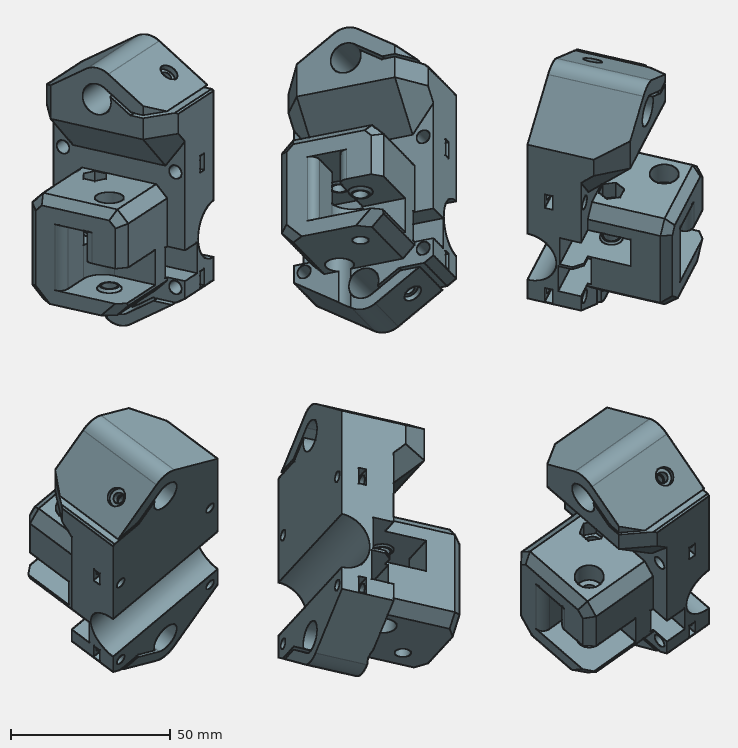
import cadquery as cq
import math


height = 92.6
half_width = 24.0
corner_height = 14.1
tip_radius = 7.5
plate_depth = 17.9

head_depth = 31.8
head_front_half_width = 16.85
head_side_depth = 22.0
head_underside_z = 71.8

rod_diameter = 10.4
upper_rod_z = 81.95
lower_rod_z = 9.1
clamp_gap = 1.0
upper_gap_z = 80.0
lower_gap_z = 11.0
clamp_screw_x = 13.0
clamp_screw_depth = plate_depth / 2
clamp_screw_diameter = 3.5
clamp_screw_length = 14.8
clamp_head_diameter = 6.0
clamp_head_depth = 1.85

mount_half_spacing = 20.5
mount_heights = (17.2, 56.5)
mount_diameter = 3.5
mount_clearance_diameter = 4.5
nut_slot_front = 8.4
nut_slot_thickness = 2.6
nut_slot_width = 5.65

seat_radius = 9.6
seat_z = 31.6

front_depth = 45.0
block_half_width = 17.5
block_bottom = 15.0
block_top = 50.9
block_corner = 4.0
block_front_chamfer = 3.0

channel_back = 10.3
channel_front = 19.0
channel_top = 30.6

lower_pocket_bottom = 20.1
lower_pocket_top = 32.0
lower_pocket_back = 25.3
upper_pocket_bottom = 31.5
upper_pocket_top = 42.5
upper_pocket_back = 10.8
upper_pocket_front = 32.1
passage_left = -4.5
passage_right = 3.0
pocket_corner_radius = 7.0
mouth_radius = 3.0
web_chamfer = 2.9

axle_x = 6.5
upper_axle_depth = 21.9
lower_axle_depth = 35.0
axle_diameter = 5.2
axle_head_diameter = 9.2
axle_head_depth = 7.4
axle_nut_diameter = 8.2
axle_nut_depth = 6.0
washer_diameter = 6.0
upper_washer_height = 0.65
lower_washer_height = 0.9

tip_center_height = height - tip_radius
side_corner_z = height - corner_height
corner_rise = tip_center_height - side_corner_z
slope = math.atan2(corner_rise, half_width) + math.asin(tip_radius / math.hypot(half_width, corner_rise))
block_width = 2 * block_half_width
overrun = 4.6


def box(x_range, depth_range, z_range):
    """Box between two X values, two depths and two heights."""
    left, right = x_range
    back, front = depth_range
    bottom, top = z_range
    solid = cq.Workplane("XY").box(right - left, front - back, top - bottom, centered=False)
    return solid.translate((left, -front, bottom))


def upright(diameter, x, depth, bottom, top):
    """Cylinder along Z."""
    return cq.Workplane("XY", origin=(x, -depth, bottom)).circle(diameter / 2).extrude(top - bottom)


def crosswise(diameter, x, z, start, end):
    """Cylinder along -Y between two depths."""
    return cq.Workplane("XZ", origin=(x, -start, z)).circle(diameter / 2).extrude(end - start)


def flip(solid):
    """Mirror top to bottom about the middle of the body."""
    return solid.mirror("XY", (0, 0, height / 2))


def body():
    tangent_x = tip_radius * math.sin(slope)
    tangent_z = tip_center_height + tip_radius * math.cos(slope)
    outline = (
        cq.Workplane("XZ")
        .moveTo(-half_width, side_corner_z)
        .lineTo(-tangent_x, tangent_z)
        .threePointArc((0, height), (tangent_x, tangent_z))
        .lineTo(half_width, side_corner_z)
        .lineTo(half_width, corner_height)
        .lineTo(tangent_x, height - tangent_z)
        .threePointArc((0, 0), (-tangent_x, height - tangent_z))
        .lineTo(-half_width, corner_height)
        .close()
    )
    return outline.extrude(head_depth)


def envelope():
    """Plate plus the head, whose underside recedes at 45 degrees down to the plate."""
    plate = box((-half_width, half_width), (0, plate_depth), (0, height))
    section = [
        (-half_width, 0),
        (-half_width, -head_side_depth),
        (-head_front_half_width, -head_depth),
        (head_front_half_width, -head_depth),
        (half_width, -head_side_depth),
        (half_width, 0),
    ]
    profile = cq.Workplane("XY", origin=(0, 0, head_underside_z)).polyline(section).close()
    head = profile.extrude(height - head_underside_z)
    drop = head_depth - plate_depth
    underside = cq.Solid.extrudeLinear(profile.wire().val(), [], cq.Vector(0, drop, -drop))
    return plate.union(head).union(cq.Workplane(underside))


def block():
    middle_z = (block_bottom + block_top) / 2
    solid = (
        cq.Workplane("XZ", origin=(0, 0, middle_z))
        .rect(block_width, block_top - block_bottom)
        .extrude(front_depth)
        .edges("|Y")
        .chamfer(block_corner)
    )
    solid = solid.faces("<Y").edges("not(<Z or >X)").chamfer(block_front_chamfer)
    bevel = [
        (block_half_width, -front_depth),
        (block_half_width, -front_depth + block_front_chamfer),
        (block_half_width - block_front_chamfer, -front_depth),
    ]
    bevel_profile = cq.Workplane("XY", origin=(0, 0, lower_pocket_bottom)).polyline(bevel).close()
    solid = solid.cut(bevel_profile.extrude(block_top - lower_pocket_bottom))
    return solid.cut(box((-half_width, half_width), (0, plate_depth / 2), (0, height)))


def clamp_slot(rod_z, gap_z):
    """Slot tangent to the top of a rod bore, parallel to the sloped side, then level out to +X."""
    def edge(radius, level):
        start = (radius * math.sin(slope), rod_z + radius * math.cos(slope))
        bend_x = start[0] + (start[1] - level) / math.tan(slope)
        return [start, (bend_x, level), (half_width + overrun, level)]

    upper_edge = edge(rod_diameter / 2, gap_z)
    lower_edge = edge(rod_diameter / 2 - clamp_gap, gap_z - clamp_gap)
    return cq.Workplane("XZ").polyline(upper_edge + lower_edge[::-1]).close().extrude(head_depth)


def clamp_screw():
    """Screw hole square to the upper right sloped side."""
    face_z = side_corner_z + (half_width - clamp_screw_x) * math.tan(slope)
    entry = cq.Vector(clamp_screw_x, -clamp_screw_depth, face_z)
    inward = cq.Vector(-math.sin(slope), 0, -math.cos(slope))

    def bore(diameter, depth):
        start = entry - inward * overrun
        return cq.Workplane(cq.Solid.makeCylinder(diameter / 2, depth + overrun, start, inward))

    return bore(clamp_screw_diameter, clamp_screw_length).union(bore(clamp_head_diameter, clamp_head_depth))


def rod_clamps():
    cutter = crosswise(rod_diameter, 0, upper_rod_z, 0, head_depth)
    cutter = cutter.union(crosswise(rod_diameter, 0, lower_rod_z, 0, plate_depth))
    cutter = cutter.union(clamp_slot(upper_rod_z, upper_gap_z))
    cutter = cutter.union(flip(clamp_slot(height - lower_rod_z, height - lower_gap_z)))
    return cutter.union(clamp_screw()).union(flip(clamp_screw()))


def mount(z):
    """Stepped hole and nut slot on both sides at one height."""
    hole = crosswise(mount_diameter, mount_half_spacing, z, 0, plate_depth)
    hole = hole.union(crosswise(mount_clearance_diameter, mount_half_spacing, z, nut_slot_front, plate_depth))
    nut_slot = box(
        (mount_half_spacing - nut_slot_width / 2, half_width),
        (nut_slot_front - nut_slot_thickness, nut_slot_front),
        (z - nut_slot_width / 2, z + nut_slot_width / 2),
    )
    side = hole.union(nut_slot)
    return side.union(side.mirror("YZ"))


def bearing_seat():
    return cq.Workplane("YZ").center(0, seat_z).circle(seat_radius).extrude(half_width, both=True)


def belt_channel():
    return box((-half_width, half_width), (channel_back, channel_front), (lower_pocket_bottom, channel_top))


def mouth_rounding(wall_x, side, bottom):
    """Material to remove where a passage wall rolls over into the front face."""
    center_x = wall_x + side * mouth_radius
    center_depth = front_depth - mouth_radius
    x_range = sorted((wall_x, center_x))
    corner = box(x_range, (center_depth, front_depth), (bottom, upper_pocket_top))
    roll = upright(2 * mouth_radius, center_x, center_depth, bottom, upper_pocket_top)
    return corner.cut(roll)


def washer(x, depth, z, rise):
    """Conical spacer ring standing on a pocket face, rising up (positive) or down (negative)."""
    reach = abs(rise)
    tip = washer_diameter / 2
    direction = cq.Vector(0, 0, math.copysign(1, rise))
    return cq.Workplane(cq.Solid.makeCone(tip + reach, tip, reach, cq.Vector(x, -depth, z), direction))


def upper_pocket():
    z_range = (upper_pocket_bottom, upper_pocket_top)
    inlet = box((-half_width, passage_right), (upper_pocket_back, upper_pocket_front), z_range)
    inlet = inlet.edges("|Z and >X and >Y").fillet(pocket_corner_radius)
    passage = box((passage_left, passage_right), (lower_pocket_back, front_depth), z_range)
    pocket = inlet.union(passage).union(mouth_rounding(passage_right, 1, lower_pocket_top))
    pocket = pocket.cut(washer(-axle_x, upper_axle_depth, upper_pocket_bottom, upper_washer_height))
    return pocket.cut(washer(-axle_x, upper_axle_depth, upper_pocket_top, -upper_washer_height))


def lower_pocket():
    z_range = (lower_pocket_bottom, lower_pocket_top)
    pocket = box((passage_left, block_half_width), (lower_pocket_back, front_depth), z_range)
    pocket = pocket.edges("|Z and <X and >Y").fillet(pocket_corner_radius)
    pocket = pocket.union(mouth_rounding(passage_left, -1, lower_pocket_bottom))
    pocket = pocket.cut(washer(axle_x, lower_axle_depth, lower_pocket_bottom, lower_washer_height))
    return pocket.cut(washer(axle_x, lower_axle_depth, lower_pocket_top, -lower_washer_height))


def web_corner():
    """Corner cut off the thin web between the upper pocket and the belt channel."""
    corner = [
        (-half_width, -plate_depth),
        (-half_width + web_chamfer, -plate_depth),
        (-half_width, -plate_depth + web_chamfer),
    ]
    web = cq.Workplane("XY", origin=(0, 0, channel_top)).polyline(corner).close()
    return web.extrude(upper_pocket_bottom - channel_top)


def axles():
    """Upper axle: nut trap on top, head from below. Lower axle: head from above."""
    upper = upright(axle_diameter, -axle_x, upper_axle_depth, block_bottom, block_top)
    head_from_below = upright(axle_head_diameter, -axle_x, upper_axle_depth, 0, lower_pocket_bottom)
    nut_trap = (
        cq.Workplane("XY", origin=(-axle_x, -upper_axle_depth, block_top - axle_nut_depth))
        .polygon(6, axle_nut_diameter)
        .extrude(axle_nut_depth)
    )
    lower = upright(axle_diameter, axle_x, lower_axle_depth, block_bottom, block_top)
    head_seat_z = block_top - axle_head_depth
    head_from_above = upright(axle_head_diameter, axle_x, lower_axle_depth, head_seat_z, block_top)
    return upper.union(head_from_below).union(nut_trap).union(lower).union(head_from_above)


result = body().intersect(envelope()).union(block())
cutters = [rod_clamps(), bearing_seat(), belt_channel(), web_corner()]
cutters += [upper_pocket(), lower_pocket(), axles()]
cutters += [mount(z) for z in mount_heights]
for cutter in cutters:
    result = result.cut(cutter)